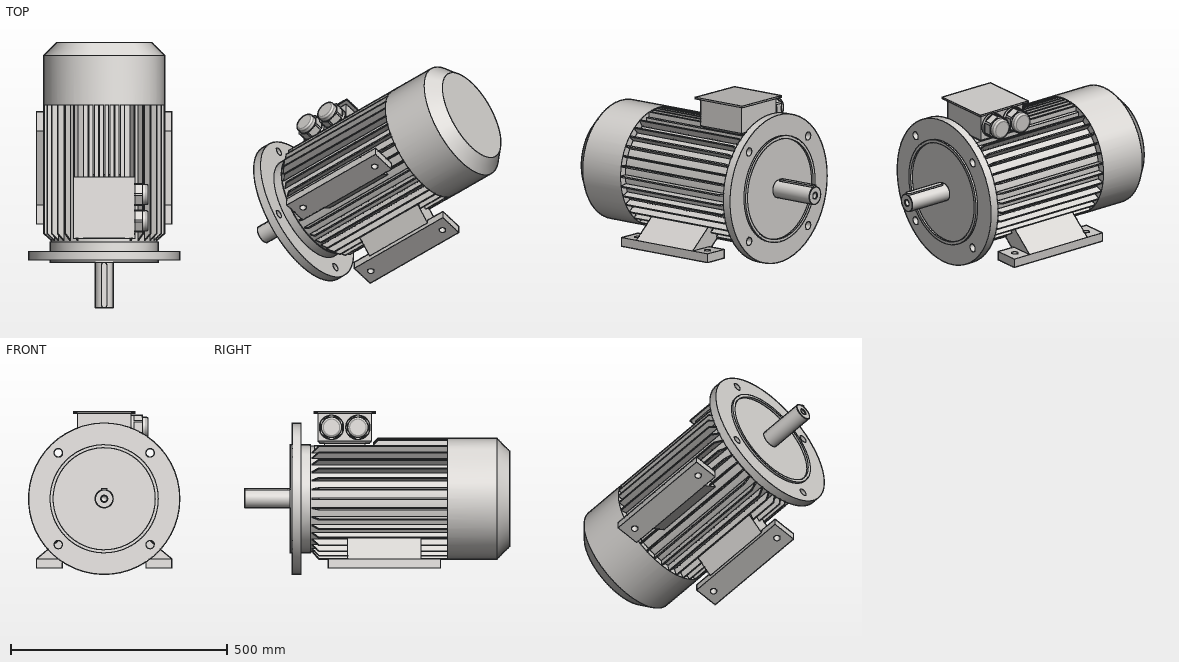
import cadquery as cq
import math


shaft_diameter = 42
shaft_length = 110
shaft_chamfer = 0.8
shaft_bore_diameter = 13.84
shaft_bore_depth = 36
shaft_bore_mouth = 16.6
drill_point_angle = 118
key_width = 12
key_length = 105
key_top = 24
key_height = 8

flange_diameter = 350
flange_thickness = 20.5
spigot_diameter = 250
spigot_height = 5
recess_diameter = 236
recess_depth = 5
flange_hole_diameter = 19
flange_bolt_circle = 300
flange_hole_count = 4
first_flange_hole_angle = 45

neck_end = 42
core_diameter = 245
housing_diameter = 280
cowl_start = 359
cowl_taper = 30
motor_length = 503

fin_thickness = 3
fin_root_overlap = 2
fin_pitch_angle = 10
first_fin_angle = 30
fin_start = 46
fin_bevel_length = 15.5
short_fin_pitch = 12
short_fin_pairs = 3
short_fin_start = 188
short_fin_bevel = 10

plinth_width = 95
plinth_start = 51
plinth_top = 123
plinth_bottom = 105

shaft_height = 160
foot_outer_x = 156.5
foot_width = 60
foot_thickness = 21
foot_length = 260
foot_hole_diameter = 15
foot_hole_x = 127
foot_hole_spacing = 210
foot_center_y = 213
web_length = 170
web_angle = 40
web_lower_drop = 9
web_inner_x = 50

box_center_y = 121.3
box_side = 124
box_bottom = 128
box_bevel = 5.2
lid_side = 142
lid_thickness = 4
lid_top = 201
pedestal_side = 94

gland_spacing = 61
gland_z = 165
gland_body_diameter = 56.5
gland_collar_length = 7
gland_hex_flats = 51
gland_hex_length = 19.5
gland_cap_diameter = 47.09
gland_cap_length = 13
gland_cap_round = 4.5


def cylinder_y(diameter, y_start, y_end):
    """Cylinder on the shaft axis between two y positions."""
    return cq.Workplane("XZ", origin=(0, y_start, 0)).circle(diameter / 2).extrude(y_start - y_end)


def box_between(x_range, y_range, z_range):
    """Rectangular block given by its limits along each axis."""
    return cq.Workplane("XY").box(
        x_range[1] - x_range[0], y_range[1] - y_range[0], z_range[1] - z_range[0], centered=False
    ).translate((x_range[0], y_range[0], z_range[0]))


def make_housing():
    """Finless core and rear fan cowl with its conical end."""
    core = cylinder_y(core_diameter, neck_end, cowl_start)
    cowl = cylinder_y(housing_diameter, cowl_start, motor_length)
    return core.union(cowl.faces(">Y").chamfer(cowl_taper))


def make_plinth():
    """Flat-topped plinth under the terminal box and the short fins."""
    return box_between(
        (-plinth_width / 2, plinth_width / 2),
        (plinth_start, cowl_start),
        (plinth_bottom, plinth_top),
    )


def make_radial_fins():
    """Full-length radial fins all round except across the plinth."""
    core_radius = core_diameter / 2
    root = core_radius - fin_root_overlap
    tip = housing_diameter / 2
    profile = [
        (fin_start, root),
        (fin_start, core_radius),
        (fin_start + fin_bevel_length, tip),
        (cowl_start, tip),
        (cowl_start, root),
    ]
    plate = cq.Workplane("YZ").polyline(profile).close().extrude(fin_thickness / 2, both=True)
    return [
        plate.rotate((0, 0, 0), (0, 1, 0), angle)
        for angle in range(first_fin_angle, 360 - first_fin_angle + 1, fin_pitch_angle)
    ]


def make_short_fins():
    """Parallel upright fins on the plinth, trimmed to the housing circle with a conical front bevel."""
    envelope = cylinder_y(housing_diameter, short_fin_start, cowl_start)
    envelope = envelope.faces("<Y").chamfer(short_fin_bevel)
    plate = box_between(
        (-fin_thickness / 2, fin_thickness / 2),
        (short_fin_start, cowl_start),
        (plinth_top - fin_root_overlap, housing_diameter / 2),
    )
    return [
        plate.translate((index * short_fin_pitch, 0, 0)).intersect(envelope)
        for index in range(-short_fin_pairs, short_fin_pairs + 1)
    ]


def make_flange():
    """Mounting flange with rear neck, recessed front spigot and four bolt holes."""
    flange = cylinder_y(flange_diameter, 0, flange_thickness)
    flange = flange.union(cylinder_y(spigot_diameter, -spigot_height, neck_end))
    flange = flange.cut(cylinder_y(recess_diameter, -spigot_height, recess_depth - spigot_height))
    holes = (
        cq.Workplane("XZ", origin=(0, flange_thickness, 0))
        .polarArray(flange_bolt_circle / 2, first_flange_hole_angle, 360, flange_hole_count)
        .circle(flange_hole_diameter / 2)
        .extrude(flange_thickness)
    )
    return flange.cut(holes)


def make_shaft():
    """Shaft end with a round-ended key and a drilled centre hole."""
    shaft = cylinder_y(shaft_diameter, -shaft_length, neck_end).faces("<Y").chamfer(shaft_chamfer)
    key = (
        cq.Workplane("XY", origin=(0, key_length / 2 - shaft_length, key_top - key_height))
        .slot2D(key_length, key_width, 90)
        .extrude(key_height)
    )
    bore_radius = shaft_bore_diameter / 2
    mouth_radius = shaft_bore_mouth / 2
    point_length = bore_radius / math.tan(math.radians(drill_point_angle / 2))
    bore = (
        cq.Workplane("XY", origin=(0, -shaft_length, 0))
        .polyline([
            (0, 0),
            (mouth_radius, 0),
            (bore_radius, mouth_radius - bore_radius),
            (bore_radius, shaft_bore_depth),
            (0, shaft_bore_depth + point_length),
        ])
        .close()
        .revolve(360, (0, 0, 0), (0, 1, 0))
    )
    return shaft.union(key).cut(bore)


def make_foot():
    """Foot on the +X side: drilled pad and a slanted web reaching into the core."""
    inner_x = foot_outer_x - foot_width
    foot_top = foot_thickness - shaft_height
    pad = box_between(
        (inner_x, foot_outer_x),
        (foot_center_y - foot_length / 2, foot_center_y + foot_length / 2),
        (-shaft_height, foot_top),
    )
    slope = math.tan(math.radians(web_angle))
    lower_z = foot_top - web_lower_drop
    web_points = [
        (foot_outer_x, foot_top),
        (web_inner_x, foot_top + slope * (foot_outer_x - web_inner_x)),
        (web_inner_x, lower_z + slope * (inner_x - web_inner_x)),
        (inner_x, lower_z),
        (inner_x, foot_top),
    ]
    web = (
        cq.Workplane("XZ", origin=(0, foot_center_y, 0))
        .polyline(web_points)
        .close()
        .extrude(web_length / 2, both=True)
    )
    holes = (
        cq.Workplane("XY", origin=(foot_hole_x, foot_center_y, -shaft_height))
        .rarray(1, foot_hole_spacing, 1, 2)
        .circle(foot_hole_diameter / 2)
        .extrude(foot_thickness)
    )
    return pad.union(web).cut(holes)


def make_gland(center_y):
    """Cable gland on the +X wall of the terminal box: collar, hexagon and rounded cap."""
    base = cq.Workplane("YZ", origin=(box_side / 2, center_y, gland_z))
    body_length = gland_collar_length + gland_hex_length
    collar = base.circle(gland_body_diameter / 2).extrude(gland_collar_length)
    hexagon = (
        base.workplane(offset=gland_collar_length)
        .transformed(rotate=(0, 0, 90))
        .polygon(6, gland_hex_flats / math.cos(math.pi / 6))
        .extrude(gland_hex_length)
        .intersect(base.circle(gland_body_diameter / 2).extrude(body_length))
    )
    cap = (
        base.workplane(offset=body_length)
        .circle(gland_cap_diameter / 2)
        .extrude(gland_cap_length)
        .faces(">X")
        .edges()
        .fillet(gland_cap_round)
    )
    return collar.union(hexagon).union(cap)


def make_terminal_box():
    """Terminal box on its pedestal, with overhanging lid and two cable glands."""
    base = cq.Workplane("XY", origin=(0, box_center_y, 0))
    lid_bottom = lid_top - lid_thickness
    pedestal = (
        base.workplane(offset=plinth_bottom)
        .rect(pedestal_side, pedestal_side)
        .extrude(box_bottom - plinth_bottom)
    )
    body = (
        base.workplane(offset=box_bottom)
        .rect(box_side, box_side)
        .extrude(lid_bottom - box_bottom)
        .faces("<Z")
        .chamfer(box_bevel)
    )
    lid = base.workplane(offset=lid_bottom).rect(lid_side, lid_side).extrude(lid_thickness)
    terminal_box = pedestal.union(body).union(lid)
    for side in (-1, 1):
        terminal_box = terminal_box.union(make_gland(box_center_y + side * gland_spacing / 2))
    return terminal_box


motor = make_housing().union(make_plinth())
for fin in make_radial_fins() + make_short_fins():
    motor = motor.union(fin)

foot = make_foot()
motor = motor.union(foot).union(foot.mirror("YZ"))
result = motor.union(make_flange()).union(make_shaft()).union(make_terminal_box())